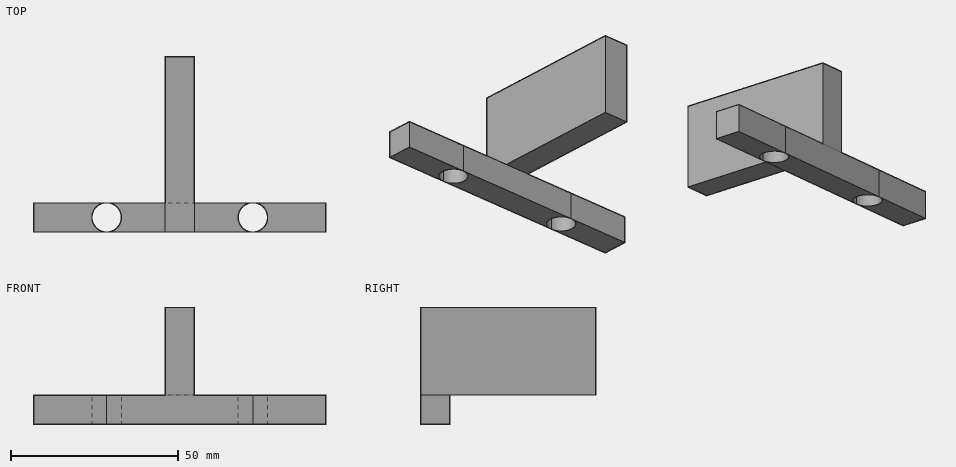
import cadquery as cq

bar_length = 87.3
bar_width = 8.7
bar_height = 8.7
hole_diameter = bar_width
hole_spacing = 43.6

plate_thickness = 8.7
plate_depth = 52.4
plate_height = 26.2

hole_x = hole_spacing / 2
hole_radius = hole_diameter / 2
bar_end_x = bar_length / 2
front_y = -bar_width / 2
back_y = bar_width / 2


def make_end_piece(side):
    """End of the bar with a half-round inner end; side is -1 for left, 1 for right."""
    return (
        cq.Workplane("XY")
        .moveTo(side * hole_x, front_y)
        .lineTo(side * bar_end_x, front_y)
        .lineTo(side * bar_end_x, back_y)
        .lineTo(side * hole_x, back_y)
        .threePointArc((side * (hole_x + hole_radius), 0), (side * hole_x, front_y))
        .close()
        .extrude(bar_height)
    )


def make_bracket():
    """Middle of the bar with half-round ends, in one piece with the upright plate."""
    middle = (
        cq.Workplane("XY")
        .moveTo(-hole_x, front_y)
        .lineTo(hole_x, front_y)
        .threePointArc((hole_x - hole_radius, 0), (hole_x, back_y))
        .lineTo(-hole_x, back_y)
        .threePointArc((-hole_x + hole_radius, 0), (-hole_x, front_y))
        .close()
        .extrude(bar_height)
    )
    plate = cq.Workplane("XY").box(
        plate_thickness, plate_depth, plate_height, centered=(True, False, False)
    ).translate((0, front_y, bar_height))
    return middle.union(plate, clean=False).solids()


bracket = make_bracket()
end_pieces = [make_end_piece(side) for side in (-1, 1)]

result = cq.Compound.makeCompound([bracket.val(), *[piece.val() for piece in end_pieces]])